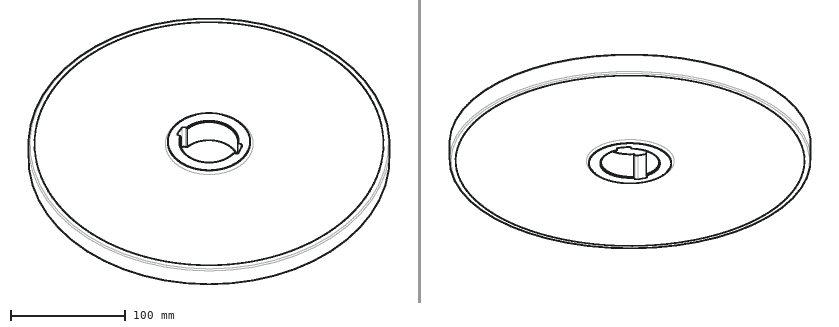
import cadquery as cq
import math

OUTER_DIAMETER = 315.0
TOTAL_HEIGHT = 24.0

RIM_HEIGHT = 18.5
RIM_INNER_DIAMETER = 304.3
RIM_FILLET = 1.3

WEB_HEIGHT = RIM_HEIGHT
HUB_DIAMETER = 72.0
HUB_FILLET = 2.2
HUB_CHAMFER = 0.3

BORE_DIAMETER = 50.5
BORE_CHAMFER = 1.0
KEYWAY_REACH = 29.0
KEYWAY_CORNER_RADIUS = 2.2
MAIN_KEYWAY_WIDTH = 12.5
MAIN_KEYWAY_ANGLE = 0.0
SIDE_KEYWAY_WIDTH = 11.5
SIDE_KEYWAY_ANGLE = 171.0


def bore_cutter():
    """Bore volume that widens into a chamfer at both hub faces."""
    bore_radius = BORE_DIAMETER / 2
    mouth_radius = bore_radius + BORE_CHAMFER
    hub_top = TOTAL_HEIGHT / 2
    chamfer_start = hub_top - BORE_CHAMFER
    profile = cq.Workplane("XZ").polyline([
        (0, -hub_top),
        (mouth_radius, -hub_top),
        (bore_radius, -chamfer_start),
        (bore_radius, chamfer_start),
        (mouth_radius, hub_top),
        (0, hub_top),
    ]).close()
    return profile.revolve(360, (0, 0, 0), (0, 1, 0))


def make_rim():
    """Flat ring with rounded outer edges."""
    return (
        cq.Workplane("XY")
        .workplane(offset=-RIM_HEIGHT / 2)
        .circle(OUTER_DIAMETER / 2)
        .extrude(RIM_HEIGHT)
        .edges("%CIRCLE")
        .fillet(RIM_FILLET)
        .faces(">Z")
        .workplane()
        .hole(RIM_INNER_DIAMETER)
    )


def make_disc_blank():
    """Web and hub turned in one piece, with a concave fillet at the foot of the hub."""
    web_radius = RIM_INNER_DIAMETER / 2
    hub_radius = HUB_DIAMETER / 2
    web_top = WEB_HEIGHT / 2
    hub_top = TOTAL_HEIGHT / 2
    arc_offset = HUB_FILLET * (1 - math.sqrt(0.5))
    upper_half = (
        cq.Workplane("XZ")
        .lineTo(web_radius, 0)
        .lineTo(web_radius, web_top)
        .lineTo(hub_radius + HUB_FILLET, web_top)
        .threePointArc(
            (hub_radius + arc_offset, web_top + arc_offset),
            (hub_radius, web_top + HUB_FILLET),
        )
        .lineTo(hub_radius, hub_top - HUB_CHAMFER)
        .lineTo(hub_radius - HUB_CHAMFER, hub_top)
        .lineTo(0, hub_top)
        .close()
        .revolve(360, (0, 0, 0), (0, 1, 0))
    )
    return upper_half.union(upper_half.mirror("XY"))


def keyway_cutter(width, angle):
    """Straight slot from the bore axis outwards, with rounded corners at its floor."""
    return (
        cq.Workplane("XY")
        .box(KEYWAY_REACH, width, TOTAL_HEIGHT, centered=(False, True, True))
        .edges("|Z and >X")
        .fillet(KEYWAY_CORNER_RADIUS)
        .rotate((0, 0, 0), (0, 0, 1), angle)
    )


def make_disc():
    """Disc with a chamfered bore and two keyways."""
    disc = make_disc_blank().cut(bore_cutter())
    for width, angle in (
        (MAIN_KEYWAY_WIDTH, MAIN_KEYWAY_ANGLE),
        (SIDE_KEYWAY_WIDTH, SIDE_KEYWAY_ANGLE),
    ):
        disc = disc.cut(keyway_cutter(width, angle))
    return disc


rim = make_rim()
disc = make_disc()
result = cq.Compound.makeCompound([rim.val(), disc.val()])